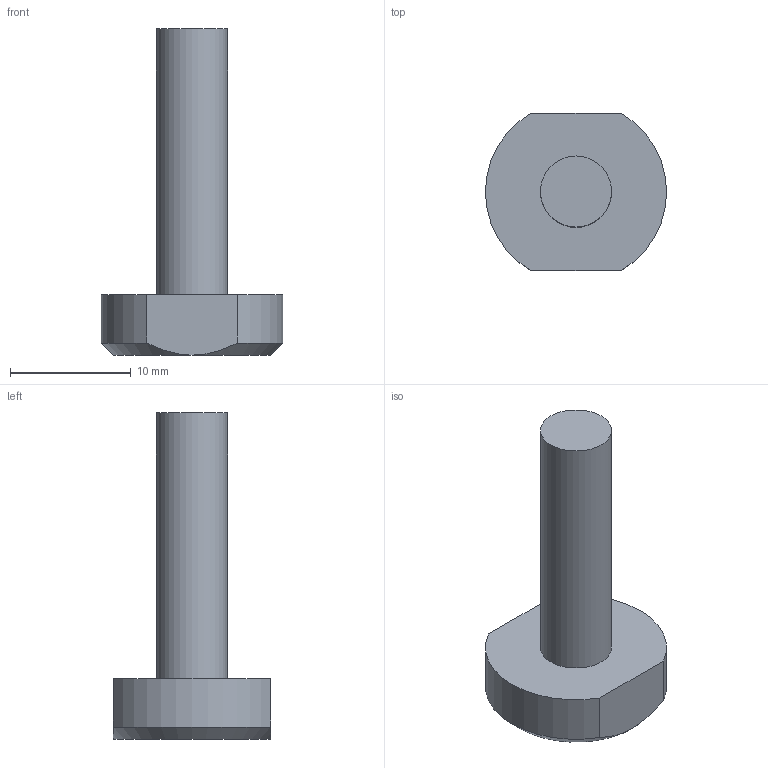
import cadquery as cq

head_diameter = 15.0
head_height = 5.0
head_chamfer = 1.0
across_flats = 13.0
shank_diameter = 5.88
total_height = 27.0


def make_head():
    """Round head, chamfered at its bottom edge and cut by two flats parallel to X."""
    disc = cq.Workplane("XY").circle(head_diameter / 2).extrude(head_height)
    disc = disc.faces("<Z").chamfer(head_chamfer)
    flats_envelope = cq.Workplane("XY").rect(head_diameter, across_flats).extrude(head_height)
    return disc.intersect(flats_envelope)


def make_shank():
    """Plain cylindrical shank standing on the top face of the head."""
    shank_length = total_height - head_height
    return (
        cq.Workplane("XY")
        .workplane(offset=head_height)
        .circle(shank_diameter / 2)
        .extrude(shank_length)
    )


result = make_head().union(make_shank())